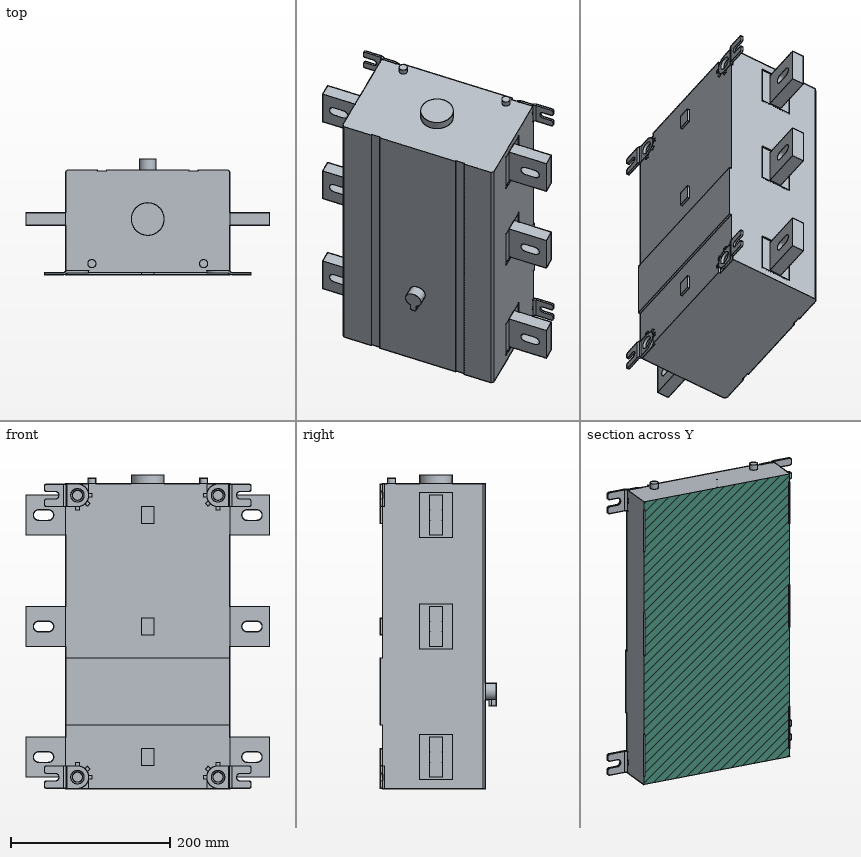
import cadquery as cq

body_width = 206.7
body_depth = 129.5
body_height = 383.5
rear_chamfer = 2.8
half_width = body_width / 2
mid_height = body_height / 2

groove_x = 57.5
groove_width = 11.5
groove_depth = 1.4

relief = 2.8
panel_bottom = 80.0
panel_top = 164.5
label_width = 15.8
label_height = 21.5

bar_rows = (40.0, 204.0, 344.0)
bar_y = 67.5
bar_reach = 153.0
bar_thickness = 16.0
bar_height = 50.5
bar_slot_x = 131.0
bar_slot_length = 25.2
bar_slot_height = 13.0
window_width = 41.0
window_height = 57.0
window_depth = 1.5

cap_diameter = 41.0
total_height = 394.5
button_diameter = 10.3
button_height = 7.0
button_x = 70.2
button_y = 11.5

knob_diameter = 21.5
knob_length = 14.0
knob_z = 122.3
pointer_width = 8.0
pointer_thickness = 9.5
pointer_reach = 18.5
pointer_corner = 2.5
pointer_back_width = 6.5
pointer_back_thickness = 3.5

pad_radius = 14.2
pad_x = -88.5
top_gap = 0.5
pad_z = body_height - top_gap - pad_radius
tab_end_x = -129.8
jog_outer_x = -106.0
jog_bend_x = -102.5
jog_bend_y = -1.5
jog_inner_x = -101.5
tab_corner = 2.8
tab_slot_end_x = -111.5
tab_slot_height = 9.5
pocket_end_x = -74.0
notch_reach = 18.5
notch_width = 4.7
notch_angles = (0, -40, -90)
pad_front = -0.5
countersink_outer = 8.5
countersink_inner = 6.5


def box(x_range, y_range, z_range):
    """Box between the given limits."""
    x0, x1 = x_range
    y0, y1 = y_range
    z0, z1 = z_range
    return cq.Workplane("XY").box(x1 - x0, y1 - y0, z1 - z0, centered=False).translate((x0, y0, z0))


def centred(middle, size):
    """Limits of a span of the given size about its middle."""
    return (middle - size / 2, middle + size / 2)


def cylinder_y(x, z, radius, y_range):
    """Cylinder along Y between two Y limits."""
    y0, y1 = y_range
    return cq.Workplane(cq.Solid.makeCylinder(radius, y1 - y0, cq.Vector(x, y0, z), cq.Vector(0, 1, 0)))


def at_four_corners(shape):
    """The shape and its mirror images about the housing's mid planes."""
    both_sides = shape.union(shape.mirror("YZ"))
    return both_sides.union(both_sides.mirror("XY", (0, 0, mid_height)))


def make_housing():
    housing = box((-half_width, half_width), (0, body_depth), (0, body_height))
    housing = housing.edges("|Z and >Y").chamfer(rear_chamfer)
    for side in (-1, 1):
        groove_x_range = centred(side * groove_x, groove_width)
        housing = housing.cut(box(groove_x_range, (body_depth - groove_depth, body_depth), (0, body_height)))
    return housing


def add_front_relief(part):
    """Full-width panel and one small label plate per terminal row."""
    part = part.union(box((-half_width, half_width), (-relief, 0), (panel_bottom, panel_top)))
    for z in bar_rows:
        part = part.union(box(centred(0, label_width), (-relief, 0), centred(z, label_height)))
    return part


def add_terminals(part):
    """Busbars rising from shallow windows, each with a slotted hole through Y."""
    window_floor = half_width - window_depth
    for z in bar_rows:
        for side in (-1, 1):
            window_x = sorted((side * window_floor, side * half_width))
            bar_x = sorted((side * window_floor, side * bar_reach))
            slot = (
                cq.Workplane("XZ", origin=(side * bar_slot_x, bar_y, z))
                .slot2D(bar_slot_length, bar_slot_height)
                .extrude(bar_thickness, both=True)
            )
            bar = box(bar_x, centred(bar_y, bar_thickness), centred(z, bar_height)).cut(slot)
            part = part.cut(box(window_x, centred(bar_y, window_width), centred(z, window_height)))
            part = part.union(bar)
    return part


def add_top_parts(part):
    """Central cap and two push buttons."""
    top = cq.Workplane("XY", origin=(0, 0, body_height))
    cap = top.center(0, bar_y).circle(cap_diameter / 2).extrude(total_height - body_height)
    buttons = (
        top.pushPoints([(-button_x, button_y), (button_x, button_y)])
        .circle(button_diameter / 2)
        .extrude(button_height)
    )
    return part.union(cap).union(buttons)


def make_pointer(width, y_range):
    """Plate from the knob axis to the pointer tip, with rounded tip corners."""
    plate = box(centred(0, width), y_range, (knob_z - pointer_reach, knob_z))
    return plate.edges("|Y and <Z").fillet(pointer_corner)


def add_knob(part):
    """Round knob with a stepped pointer at its outer end, aimed down."""
    knob_end = body_depth + knob_length
    pointer_start = knob_end - pointer_thickness
    pointer_step = pointer_start + pointer_back_thickness
    knob = cylinder_y(0, knob_z, knob_diameter / 2, (body_depth, knob_end))
    pointer = make_pointer(pointer_width, (pointer_step, knob_end))
    pointer_back = make_pointer(pointer_back_width, (pointer_start, pointer_step))
    return part.union(knob).union(pointer).union(pointer_back)


def make_bracket_pocket():
    """Pocket around the round pad, open at the top and notched at its rim."""
    depth = (0, relief)
    pocket = box((-half_width, pad_x), depth, (pad_z - pad_radius, body_height))
    pocket = pocket.union(cylinder_y(pad_x, pad_z, pad_radius, depth))
    pocket = pocket.union(box((pad_x, pocket_end_x), depth, (pad_z, body_height)))
    for angle in notch_angles:
        notch = box((pad_x, pad_x + notch_reach), depth, centred(pad_z, notch_width))
        pocket = pocket.union(notch.rotate((pad_x, 0, pad_z), (pad_x, 1, pad_z), -angle))
    return pocket


def make_bracket():
    """Forked tab in front of the housing, jogged back to a countersunk pad in the pocket."""
    profile = [
        (tab_end_x, -relief),
        (jog_outer_x, -relief),
        (jog_bend_x, jog_bend_y),
        (jog_inner_x, pad_front),
        (pad_x, pad_front),
        (pad_x, relief),
        (jog_inner_x, relief),
        (jog_outer_x, 0),
        (tab_end_x, 0),
    ]
    strip = (
        cq.Workplane("XY", origin=(0, 0, pad_z - pad_radius))
        .polyline(profile)
        .close()
        .extrude(2 * pad_radius)
    )
    slot_radius = tab_slot_height / 2
    slot_centre_x = tab_slot_end_x - slot_radius
    tab_y = (-relief, 0)
    strip = strip.cut(box((tab_end_x, slot_centre_x), tab_y, centred(pad_z, tab_slot_height)))
    strip = strip.cut(cylinder_y(slot_centre_x, pad_z, slot_radius, tab_y))
    strip = strip.edges("|Y and <X").fillet(tab_corner)

    countersink = cq.Workplane(
        cq.Solid.makeCone(
            countersink_outer,
            countersink_inner,
            relief - pad_front,
            cq.Vector(pad_x, pad_front, pad_z),
            cq.Vector(0, 1, 0),
        )
    )
    pad = cylinder_y(pad_x, pad_z, pad_radius, (pad_front, relief))
    return strip.union(pad).cut(countersink)


result = make_housing()
result = add_front_relief(result)
result = add_terminals(result)
result = add_top_parts(result)
result = add_knob(result)
result = result.cut(at_four_corners(make_bracket_pocket()))
result = result.union(at_four_corners(make_bracket()))